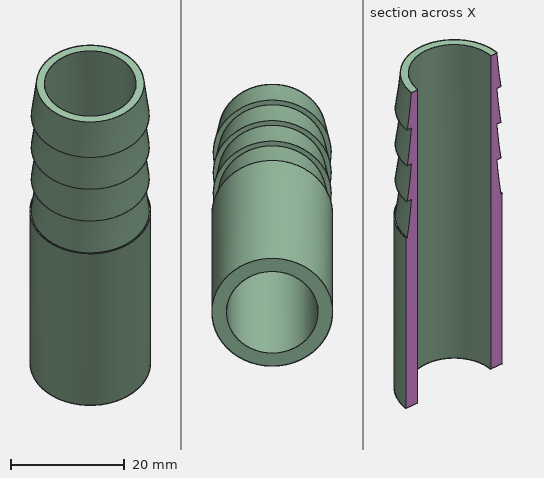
import cadquery as cq

total_length = 70.0
pipe_diameter = 21.3
bore_diameter = 16.1

barb_count = 4
barb_pitch = 8.0
barb_tip_diameter = 19.0
barb_base_diameter = 20.8

pipe_length = total_length - barb_count * barb_pitch


def plain_pipe():
    """Straight lower end, standing on the XY plane."""
    return cq.Workplane("XY").circle(pipe_diameter / 2).extrude(pipe_length)


def barb(base_height):
    """One conical barb, tapering upwards from base_height."""
    return (
        cq.Workplane("XY", origin=(0, 0, base_height))
        .circle(barb_base_diameter / 2)
        .workplane(offset=barb_pitch)
        .circle(barb_tip_diameter / 2)
        .loft(ruled=True)
    )


body = plain_pipe()
for index in range(barb_count):
    body = body.union(barb(pipe_length + index * barb_pitch))

bore = cq.Workplane("XY").circle(bore_diameter / 2).extrude(total_length)
result = body.cut(bore)